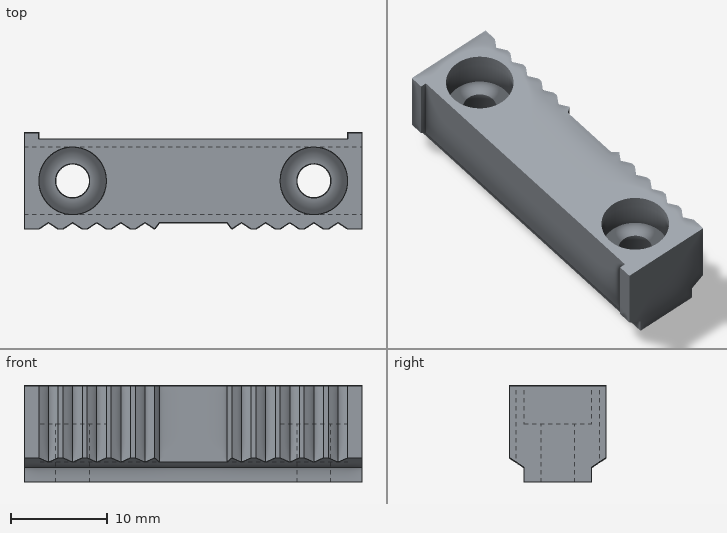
import cadquery as cq

length = 35.0
width = 10.0
height = 10.0

foot_width = 7.0
foot_height = 1.5
shoulder_height = 1.0

groove_count = 5
groove_pitch = 2.5
groove_width = 2.0
relief_depth = 0.65

relief_floor_length = 7.0
relief_flank_length = 0.5

lip_length = 1.5

hole_diameter = 3.5
counterbore_diameter = 7.0
counterbore_depth = 4.0
hole_spacing = 25.0

front_y = -width / 2
back_y = width / 2


def make_body():
    """Extrude the cross-section with its foot along X."""
    shoulder_top = foot_height + shoulder_height
    section = [
        (-foot_width / 2, 0),
        (foot_width / 2, 0),
        (foot_width / 2, foot_height),
        (back_y, shoulder_top),
        (back_y, height),
        (front_y, height),
        (front_y, shoulder_top),
        (-foot_width / 2, foot_height),
    ]
    return cq.Workplane("YZ").polyline(section).close().extrude(length / 2, both=True)


def make_front_cutter(center_x, floor_length, flank_length):
    """Full-height cutter with sloping flanks; a zero floor length makes a V."""
    floor_y = front_y + relief_depth
    half_floor = floor_length / 2
    half_mouth = half_floor + flank_length
    outline = [(center_x - half_mouth, front_y), (center_x - half_floor, floor_y)]
    if floor_length > 0:
        outline.append((center_x + half_floor, floor_y))
    outline.append((center_x + half_mouth, front_y))
    return cq.Workplane("XY").polyline(outline).close().extrude(height)


def cut_serrations(body):
    """Cut a mirrored row of V grooves on each side of the middle relief."""
    first_groove_x = length / 2 - groove_pitch
    for index in range(groove_count):
        groove_x = first_groove_x - index * groove_pitch
        for side in (-1, 1):
            body = body.cut(make_front_cutter(side * groove_x, 0, groove_width / 2))
    return body


def cut_middle_relief(body):
    """Cut the flat-floored gap between the two rows of grooves."""
    return body.cut(make_front_cutter(0, relief_floor_length, relief_flank_length))


def cut_back_recess(body):
    """Recess the +Y face over its full height between the end lips."""
    recess_length = length - 2 * lip_length
    recess = (
        cq.Workplane("XY")
        .box(recess_length, relief_depth, height, centered=(True, False, False))
        .translate((0, back_y - relief_depth, 0))
    )
    return body.cut(recess)


def cut_screw_holes(body):
    """Drill the counterbored through holes down from the top face."""
    hole_centers = [(-hole_spacing / 2, 0), (hole_spacing / 2, 0)]
    return (
        body.faces(">Z")
        .workplane(origin=(0, 0, height))
        .pushPoints(hole_centers)
        .cboreHole(hole_diameter, counterbore_diameter, counterbore_depth)
    )


body = make_body()
body = cut_serrations(body)
body = cut_middle_relief(body)
body = cut_back_recess(body)
result = cut_screw_holes(body)